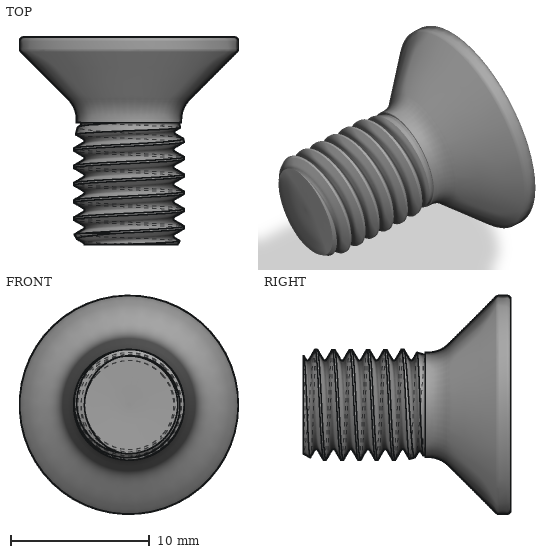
import cadquery as cq
import math


length = 15.0
head_radius = 7.9
rim_height = 0.98
rim_fillet = 0.3
neck_radius = 3.79
neck_fillet = 2.0

pitch = 1.25
thread_radius = 4.0
crest_width = 0.16
groove_root_radius = 0.16
flank_angle = math.radians(30)
groove_overlap = 0.06
thread_end = 8.8
relief_radius = 3.67
relief_width = 0.16
runout_start = 7.8
runout_turns = 1.25
runout_angle = 15.0
runout_clock = 270
groove_turns = 7.5
cylinder_angle = 360

seam_clock = 50

tip_allowance = 3.16
tip_radius = 3.52
tip_chamfer_angle = math.radians(30)
dish_radius = 3.3
dish_depth = 0.13


def make_blank():
    """Revolve the head, neck and unthreaded shank, left too long below the tip."""
    cone_foot = length - rim_height - (head_radius - neck_radius)
    tangent = neck_fillet * math.tan(math.radians(22.5))
    diagonal = neck_fillet * math.sin(math.radians(45))
    fillet_bottom = cone_foot - tangent
    fillet_center_r = neck_radius + neck_fillet
    taper_top = thread_end - relief_width
    shank_taper = (thread_radius - relief_radius) / math.tan(math.radians(runout_angle))

    blank = (
        cq.Workplane("XZ")
        .moveTo(0, -tip_allowance)
        .lineTo(thread_radius, -tip_allowance)
        .lineTo(thread_radius, taper_top - shank_taper)
        .lineTo(relief_radius, taper_top)
        .lineTo(relief_radius, thread_end)
        .lineTo(neck_radius, thread_end)
        .lineTo(neck_radius, fillet_bottom)
        .threePointArc(
            (
                fillet_center_r - neck_fillet * math.cos(math.radians(22.5)),
                fillet_bottom + neck_fillet * math.sin(math.radians(22.5)),
            ),
            (fillet_center_r - diagonal, fillet_bottom + diagonal),
        )
        .lineTo(head_radius, length - rim_height)
        .lineTo(head_radius, length)
        .lineTo(0, length)
        .close()
        .revolve(360, (0, 0, 0), (0, 1, 0))
    )
    rim = cq.selectors.BoxSelector(
        (-2 * head_radius, -2 * head_radius, length - rim_height - rim_fillet / 2),
        (2 * head_radius, 2 * head_radius, length + rim_fillet / 2),
    )
    return blank.edges("%CIRCLE").edges(rim).fillet(rim_fillet)


def sweep_groove(turns, cone_angle):
    """Sweep the V groove with its rounded root up a helix that starts on the X axis."""
    outer_radius = thread_radius + groove_overlap
    outer_half = (pitch - crest_width) / 2 + groove_overlap * math.tan(flank_angle)
    apex_radius = outer_radius - outer_half / math.tan(flank_angle)
    root_center = apex_radius + groove_root_radius / math.sin(flank_angle)
    tangent_r = root_center - groove_root_radius * math.sin(flank_angle)
    tangent_z = groove_root_radius * math.cos(flank_angle)

    path = cq.Wire.makeHelix(pitch, turns * pitch, thread_radius, angle=cone_angle)
    return (
        cq.Workplane("XZ")
        .moveTo(outer_radius, -outer_half)
        .lineTo(tangent_r, -tangent_z)
        .threePointArc((root_center - groove_root_radius, 0), (tangent_r, tangent_z))
        .lineTo(outer_radius, outer_half)
        .close()
        .sweep(cq.Workplane(path), isFrenet=True)
    )


def make_full_groove():
    """Full-depth groove from below the tip to the start of the run-out."""
    start_clock = runout_clock - groove_turns * 360
    return (
        sweep_groove(groove_turns, cylinder_angle)
        .rotate((0, 0, 0), (0, 0, 1), start_clock)
        .translate((0, 0, runout_start - groove_turns * pitch))
    )


def make_runout():
    """Groove that climbs out of the shank, stopped square at the neck."""
    limit = cq.Workplane("XY").circle(head_radius).extrude(thread_end)
    runout = (
        sweep_groove(runout_turns, runout_angle)
        .rotate((0, 0, 0), (0, 0, 1), runout_clock)
        .translate((0, 0, runout_start))
    )
    return runout.intersect(limit)


def make_tip_trim():
    """Cutter that removes the extra shank and leaves a chamfered, slightly dished tip."""
    clear_radius = thread_radius + 0.16
    return (
        cq.Workplane("XZ")
        .moveTo(0, dish_depth)
        .lineTo(dish_radius, 0)
        .lineTo(tip_radius, 0)
        .lineTo(clear_radius, (clear_radius - tip_radius) / math.tan(tip_chamfer_angle))
        .lineTo(clear_radius, -2 * tip_allowance)
        .lineTo(0, -2 * tip_allowance)
        .close()
        .revolve(360, (0, 0, 0), (0, 1, 0))
    )


blank = make_blank().rotate((0, 0, 0), (0, 0, 1), seam_clock)
screw = blank.cut(make_full_groove()).cut(make_runout()).cut(make_tip_trim())

result = screw.rotate((0, 0, 0), (1, 0, 0), -90)